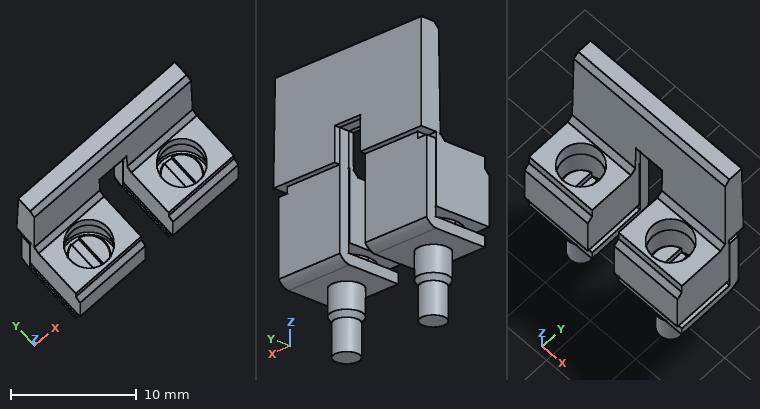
import cadquery as cq
width = 16.92
height = 24.0
depth = 7.54

leg_width = 7.0
leg_pitch = width - leg_width
slot_width = width - 2 * leg_width
slot_top = 17.62
leg_centres = [-leg_pitch / 2, leg_pitch / 2]

cap_bottom = 14.4
cap_thickness = 2.1
cap_draft = 0.1
bevel = 0.5
block_bottom = 7.92
block_top = cap_bottom - bevel
block_back = 1.65
block_step = 1.0
bore_radius = 2.0
bore_depth = 1.78
chamber_radius = 2.5
chamber_top = block_top - bore_depth

sheet = 1.0
sheet_back = 0.58
sheet_front = sheet_back + sheet
foot_bottom = 6.0
foot_top = foot_bottom + sheet
foot_front = depth - bevel
shoulder_top = 13.82
bend_radius = 1.5
bend_drop = 0.34
bar_top = 20.4
bar_inset = 1.0

screw_y = -4.7
flange_radius = 2.38
flange_top = 7.6
head_radius = 1.73
head_top = 10.08
head_chamfer = 0.07
drive_slot_width = 0.85
drive_slot_depth = 0.72
shank_radius = 1.5
cone_top = 3.55
pin_radius = 1.2
pin_top = 3.0


def box(x_middle, x_size, y_front, y_back, z_low, z_high):
    """Axis-aligned box given by its middle and size in X and its limits in Y and Z."""
    corner = (x_middle - x_size / 2, y_front, z_low)
    return cq.Workplane("XY").box(x_size, y_back - y_front, z_high - z_low, centered=False).translate(corner)


def cylinder(x, radius, z_low, z_high):
    """Upright cylinder on the screw axis of the leg at x."""
    return cq.Workplane("XY", origin=(x, screw_y, z_low)).circle(radius).extrude(z_high - z_low)


def make_cap():
    """Plate whose four sides lean inward toward the top, with a bevel on its top front edge."""
    cap = (
        cq.Workplane("XY", origin=(0, -cap_thickness / 2, cap_bottom))
        .rect(width, cap_thickness)
        .workplane(offset=height - cap_bottom)
        .rect(width - 2 * cap_draft, cap_thickness - 2 * cap_draft)
        .loft(ruled=True)
    )
    return cap.faces(">Z").edges("<Y").chamfer(bevel)


def make_block(x):
    """Block under the cap: a bore from above opens into a wider chamber for the screw flange."""
    step_top = block_top - block_step
    outline = [
        (-block_back, block_bottom),
        (-depth, block_bottom),
        (-depth, step_top - bevel),
        (-depth + bevel, step_top),
        (-depth + bevel, block_top),
        (-cap_thickness - bevel, block_top),
        (-cap_thickness, cap_bottom),
        (-block_back, cap_bottom),
    ]
    block = cq.Workplane("YZ", origin=(x - leg_width / 2, 0, 0)).polyline(outline).close().extrude(leg_width)
    bore = cylinder(x, bore_radius, chamber_top, block_top)
    chamber = cylinder(x, chamber_radius, block_bottom, chamber_top)
    return block.cut(bore).cut(chamber)


def make_bar():
    """Flat bar joining the legs above the slot, narrower than the legs on the outer sides."""
    bar = box(0, width - 2 * bar_inset, -sheet_front, -sheet_back, shoulder_top, bar_top)
    return bar.cut(make_slot())


def make_slot():
    """Open space between the two legs, through the full depth."""
    return box(0, slot_width, -depth, 0, 0, slot_top)


def make_leg(x):
    """L-shaped strip with a sharp inner corner and a shallow arc across its outer corner."""
    outline = (
        cq.Workplane("YZ", origin=(x - leg_width / 2, 0, 0))
        .moveTo(-sheet_front, shoulder_top)
        .lineTo(-sheet_front, foot_top)
        .lineTo(-foot_front, foot_top)
        .lineTo(-foot_front, foot_bottom)
        .lineTo(-sheet_front, foot_bottom)
        .radiusArc((-sheet_back, foot_top - bend_drop), -bend_radius)
        .lineTo(-sheet_back, shoulder_top)
        .close()
    )
    return outline.extrude(leg_width)


def make_screw(x):
    """Stepped pin, flange on the foot and slotted head."""
    profile = [
        (0, 0),
        (pin_radius, 0),
        (pin_radius, pin_top),
        (shank_radius, cone_top),
        (shank_radius, foot_top),
        (flange_radius, foot_top),
        (flange_radius, flange_top),
        (head_radius, flange_top),
        (head_radius, head_top - head_chamfer),
        (head_radius - head_chamfer, head_top),
        (0, head_top),
    ]
    screw = cq.Workplane("XZ").polyline(profile).close().revolve(360, (0, 0, 0), (0, 1, 0))
    slot_floor = head_top - drive_slot_depth
    drive_slot = box(0, drive_slot_width, -head_radius, head_radius, slot_floor, head_top)
    return screw.cut(drive_slot).translate((x, screw_y, 0))


bridge = make_bar()
for leg_x in leg_centres:
    bridge = bridge.union(make_leg(leg_x)).union(make_screw(leg_x))

housing = make_cap().cut(make_slot())
for leg_x in leg_centres:
    housing = housing.union(make_block(leg_x))
housing = housing.cut(make_bar())

result = cq.Compound.makeCompound([housing.val(), bridge.val()])